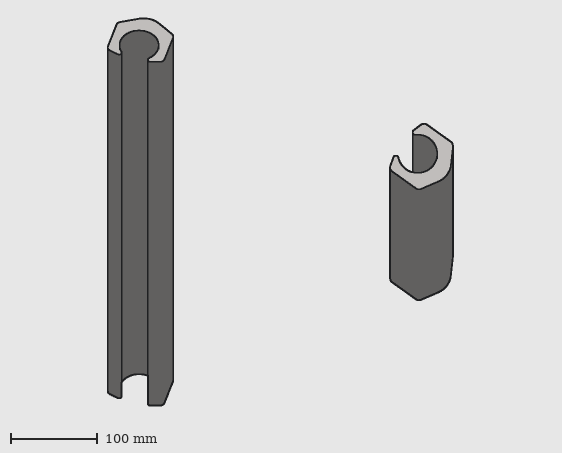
import cadquery as cq
import math

length = 609.5
width = 68.0
depth = 62.0
bore_diameter = 45.0
tip_radius = 3.0
slot_half_width = 16.0
roof_angle = math.radians(30)
lip_angle = math.radians(16)
ridge_radius = 24.5
corner_radius = 6.0

half_width = width / 2
bore_radius = bore_diameter / 2

tip_x = slot_half_width + tip_radius
tip_y = -math.sqrt((bore_radius + tip_radius) ** 2 - tip_x ** 2)
back_y = tip_y - tip_radius + depth

ridge_y = back_y + ridge_radius * (1 / math.cos(roof_angle) - 1)
shoulder_y = ridge_y - half_width * math.tan(roof_angle)

lip_x = tip_x + tip_radius * math.sin(lip_angle)
lip_y = tip_y - tip_radius * math.cos(lip_angle)
heel_y = lip_y + (half_width - lip_x) * math.tan(lip_angle)

bore_share = bore_radius / (bore_radius + tip_radius)
mouth_x = tip_x * bore_share
mouth_y = tip_y * bore_share

profile = (
    cq.Workplane("XY")
    .moveTo(0, ridge_y)
    .lineTo(half_width, shoulder_y)
    .lineTo(half_width, heel_y)
    .lineTo(lip_x, lip_y)
    .threePointArc((tip_x - tip_radius, tip_y), (mouth_x, mouth_y))
    .threePointArc((0, bore_radius), (-mouth_x, mouth_y))
    .threePointArc((-tip_x + tip_radius, tip_y), (-lip_x, lip_y))
    .lineTo(-half_width, heel_y)
    .lineTo(-half_width, shoulder_y)
    .close()
)
rail = profile.extrude(length)

rail = rail.edges("|Z and (<X or >X)").fillet(corner_radius)
result = rail.edges("|Z and >Y").fillet(ridge_radius)